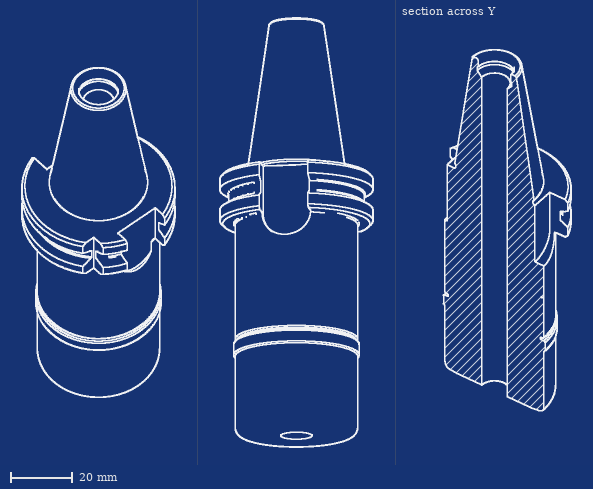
import cadquery as cq
import math

shank_length = 47.8
gauge_radius = 31.75 / 2
taper_slope = 7 / 24 / 2
shank_tip_chamfer = 0.5
taper_bottom = -1.2
neck_radius = 15.6
neck_top = -1.8
neck_fillet = 0.7

flange_radius = 25.0
flange_top = -3.2
flange_bottom = -19.1
flange_chamfer = 1.0
groove_radius = 44.3 / 2
groove_center = -11.1
groove_floor_half_width = 1.75
groove_fillet = 0.5
groove_half_angle = 30.0

body_radius = 20.0
body_fillet = 0.5
body_bottom = -58.2
body_end_chamfer = 0.5
relief_radius = 18.6
collar_radius = 20.5
collar_top = -58.9
collar_upper_chamfer = 0.5
collar_bottom = -63.0
nose_bottom = -90.0
nose_fillet = 2.4
nose_face_rise = 0.3
nose_flat_radius = 15.0

slot_width = 16.1
slot_round_center = -19.1
left_slot_floor = 16.4
right_slot_floor = 19.0
notch_offset = 15.2

bore_radius = 10.2 / 2
counterbore_radius = 13.0 / 2
counterbore_depth = 5.5
counterbore_rim_fillet = 0.8
undercut_top_depth = 3.4
undercut_radius = 6.9
bore_cone_angle = 40.0


def make_turned_body():
    """Solid of revolution: shank, flange, body, collar and nose."""
    tip_radius = gauge_radius - shank_length * taper_slope
    tip_edge_radius = tip_radius + shank_tip_chamfer * taper_slope
    taper_end_radius = gauge_radius - taper_bottom * taper_slope
    flank_angle = math.radians(groove_half_angle)
    groove_rise = (flange_radius - groove_radius) * math.tan(flank_angle)
    groove_mouth_half_width = groove_floor_half_width + groove_rise
    fillet_setback = groove_fillet * math.tan((math.pi / 2 - flank_angle) / 2)
    fillet_inner_half_width = groove_floor_half_width - fillet_setback
    fillet_outer_half_width = groove_floor_half_width + fillet_setback * math.sin(flank_angle)
    fillet_outer_radius = groove_radius + fillet_setback * math.cos(flank_angle)
    nose_rim = nose_bottom + nose_face_rise

    profile = (
        cq.Workplane("XZ")
        .moveTo(0, shank_length)
        .lineTo(tip_radius - shank_tip_chamfer, shank_length)
        .lineTo(tip_edge_radius, shank_length - shank_tip_chamfer)
        .lineTo(taper_end_radius, taper_bottom)
        .lineTo(neck_radius, neck_top)
        .lineTo(neck_radius, flange_top + neck_fillet)
        .radiusArc((neck_radius + neck_fillet, flange_top), -neck_fillet)
        .lineTo(flange_radius - flange_chamfer, flange_top)
        .lineTo(flange_radius, flange_top - flange_chamfer)
        .lineTo(flange_radius, groove_center + groove_mouth_half_width)
        .lineTo(fillet_outer_radius, groove_center + fillet_outer_half_width)
        .radiusArc((groove_radius, groove_center + fillet_inner_half_width), -groove_fillet)
        .lineTo(groove_radius, groove_center - fillet_inner_half_width)
        .radiusArc((fillet_outer_radius, groove_center - fillet_outer_half_width), -groove_fillet)
        .lineTo(flange_radius, groove_center - groove_mouth_half_width)
        .lineTo(flange_radius, flange_bottom + flange_chamfer)
        .lineTo(flange_radius - flange_chamfer, flange_bottom)
        .lineTo(body_radius + body_fillet, flange_bottom)
        .radiusArc((body_radius, flange_bottom - body_fillet), -body_fillet)
        .lineTo(body_radius, body_bottom + body_end_chamfer)
        .lineTo(body_radius - body_end_chamfer, body_bottom)
        .lineTo(relief_radius, body_bottom)
        .lineTo(relief_radius, collar_top)
        .lineTo(collar_radius - collar_upper_chamfer, collar_top)
        .lineTo(collar_radius, collar_top - collar_upper_chamfer)
        .lineTo(collar_radius, collar_bottom)
        .lineTo(body_radius, collar_bottom - (collar_radius - body_radius))
        .lineTo(body_radius, nose_rim + nose_fillet)
        .radiusArc((body_radius - nose_fillet, nose_rim), nose_fillet)
        .lineTo(nose_flat_radius, nose_bottom)
        .lineTo(0, nose_bottom)
        .close()
    )
    return profile.revolve(360, (0, 0, 0), (0, 1, 0))


def make_bore():
    """Through bore with an undercut, round-rimmed counterbore and a conical floor at the shank tip."""
    counterbore_bottom = shank_length - counterbore_depth
    undercut_top = shank_length - undercut_top_depth
    undercut_depth = undercut_radius - counterbore_radius
    cone_height = (counterbore_radius - bore_radius) / math.tan(math.radians(bore_cone_angle))
    profile = (
        cq.Workplane("XZ")
        .moveTo(0, shank_length)
        .lineTo(counterbore_radius + counterbore_rim_fillet, shank_length)
        .radiusArc(
            (counterbore_radius, shank_length - counterbore_rim_fillet),
            -counterbore_rim_fillet,
        )
        .lineTo(counterbore_radius, undercut_top)
        .lineTo(undercut_radius, undercut_top - undercut_depth)
        .lineTo(undercut_radius, counterbore_bottom + undercut_depth)
        .lineTo(counterbore_radius, counterbore_bottom)
        .lineTo(bore_radius, counterbore_bottom - cone_height)
        .lineTo(bore_radius, nose_bottom)
        .lineTo(0, nose_bottom)
        .close()
    )
    return profile.revolve(360, (0, 0, 0), (0, 1, 0))


def make_drive_slot(floor_distance, side):
    """Round-ended slot cutter on the +X (side = 1) or -X (side = -1) flank."""
    half_width = slot_width / 2
    outline = (
        cq.Workplane("YZ", origin=(side * floor_distance, 0, 0))
        .moveTo(-half_width, flange_top)
        .lineTo(half_width, flange_top)
        .lineTo(half_width, slot_round_center)
        .threePointArc((0, slot_round_center - half_width), (-half_width, slot_round_center))
        .close()
    )
    return outline.extrude(side * (flange_radius - floor_distance))


def make_notch():
    """Square corner cutter through the flange on the +X, -Y quadrant."""
    size = flange_radius - notch_offset
    height = flange_top - flange_bottom
    corner = (notch_offset, -notch_offset - size, flange_bottom)
    return cq.Workplane("XY").box(size, size, height, centered=False).translate(corner)


result = (
    make_turned_body()
    .cut(make_bore())
    .cut(make_drive_slot(left_slot_floor, -1))
    .cut(make_drive_slot(right_slot_floor, 1))
    .cut(make_notch())
)